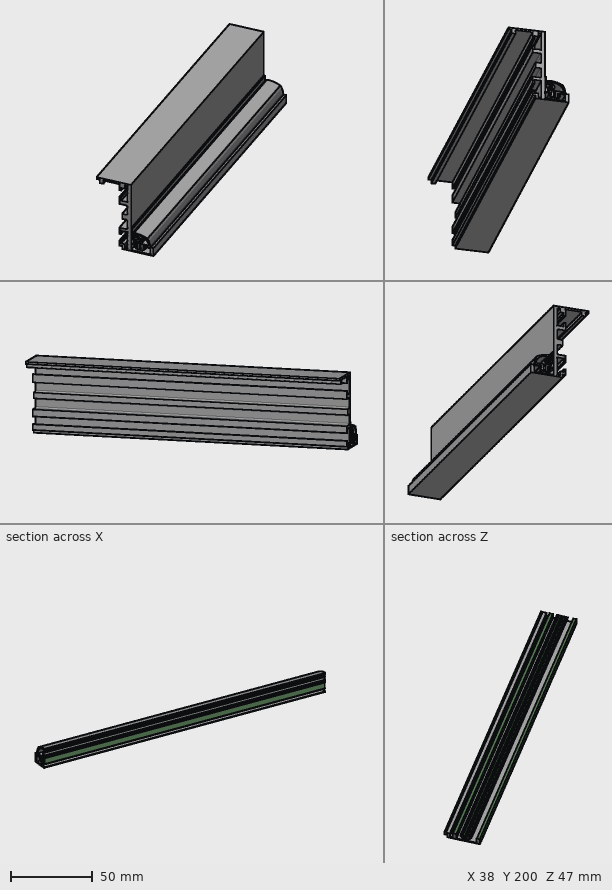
import cadquery as cq

length = 200.0
width = 38.0
height = 47.0

wall_left = 20.5
wall_right = 23.0
top_plate_thickness = 1.5
floor_left = 17.0
floor_thickness = 1.2
corner_radius = 1.0

foot_left = 2.0
foot_right = 4.5
rib_left = 15.2
rib_right = 18.8
rib_depth = 3.8
lip_right = rib_left + 1.2
top_lip_bottom = 41.5
upper_arm_bottom = 31.5
upper_arm_top = 34.2
upper_arm_lip_top = 36.5
block_left = 17.0
block_bottom = 21.5
block_top = 25.0
lower_arm_bottom = 12.8
lower_arm_top = 14.8
lower_arm_lip_bottom = 10.5
bottom_lip_bottom = 2.0
bottom_lip_top = 5.5

tray_floor_thickness = 0.8
tray_side_left = 35.8
tray_top = 5.5
ledge_bottom = tray_top - 0.5
slot_left = 26.8
slot_right = 31.2
slot_middle = (slot_left + slot_right) / 2

base_top = tray_top + 1.2
base_right = 36.2
strip_right = wall_right + 0.8
strip_top = 16.2
strip_shoulder = strip_top - 0.5
step_right = 24.8
step_top = 8.0

dome_top = 13.5
dome_crown_left = 25.0
dome_neck_right = 24.2
dome_neck_top = 12.5
dome_inner_top = 12.2
dome_inner_left = 28.5
dome_outer_bend = (30.5, 12.8)
dome_ridge = (34.0, 11.5)
dome_outer_side = (35.2, 9.5)
dome_right = 35.8
dome_inner_bend = (33.5, 10.0)
dome_inner_right = dome_right - 1.0

curl_thickness = 1.0
curl_outer_start = (27.2, 11.0)
curl_outer_nose = (29.0, 9.5)
curl_outer_end = (27.5, 7.8)
curl_inner_start = (26.2, 10.2)
curl_inner_nose = (27.5, 9.5)
curl_inner_end = (26.8, 8.8)
curl_neck_right = 24.5
curl_bottom = 7.5

stem_bottom = 2.2
stem_chamfer = 0.5
cavity_width = 1.2
cavity_bottom = 3.2
cavity_top = 6.5
barb_root_bottom = 2.5
barb_root_top = 4.0
barb_tip_bottom = 3.8
barb_tip_top = 4.5
barb_reach = 1.5
barb_tip_setback = 0.2


def bar(left, right, bottom, top):
    """Full-length rectangular bar."""
    size = (right - left, length, top - bottom)
    return cq.Workplane("XY").box(*size, centered=False).translate((left, 0, bottom))


def profile(x, z):
    """Start an outline in the XZ plane at the given point."""
    return cq.Workplane("XZ").moveTo(x, z)


def extrude(outline):
    """Close an outline and extrude it over the full length, toward +Y."""
    return outline.close().extrude(-length)


def join(parts):
    """Union of parts into one solid."""
    joined = parts[0]
    for part in parts[1:]:
        joined = joined.union(part)
    return joined.clean().solids()


def wall_fillet(z, side):
    """Concave fillet against the left of the wall; side is 1 above level z, -1 below it."""
    sag = corner_radius * (1 - 0.5**0.5)
    outline = (
        profile(wall_left, z)
        .lineTo(wall_left - corner_radius, z)
        .threePointArc(
            (wall_left - sag, z + side * sag),
            (wall_left, z + side * corner_radius),
        )
    )
    return extrude(outline)


def make_frame():
    """Wall, top plate and floor."""
    return [
        bar(wall_left, wall_right, 0, height),
        bar(0, wall_right, height - top_plate_thickness, height),
        bar(floor_left, wall_right, 0, floor_thickness),
    ]


def make_rails():
    """Ribs, arms and lips on the left of the wall, with the fillets at their roots."""
    return [
        bar(foot_left, foot_right, height - rib_depth, height),
        bar(rib_left, rib_right, height - rib_depth, height),
        bar(rib_left, lip_right, top_lip_bottom, height),
        bar(rib_left, wall_right, upper_arm_bottom, upper_arm_top),
        bar(rib_left, lip_right, upper_arm_bottom, upper_arm_lip_top),
        wall_fillet(upper_arm_bottom, -1),
        bar(block_left, wall_right, block_bottom, block_top),
        wall_fillet(block_top, 1),
        wall_fillet(block_bottom, -1),
        bar(rib_left, wall_right, lower_arm_bottom, lower_arm_top),
        bar(rib_left, lip_right, lower_arm_lip_bottom, lower_arm_top),
        wall_fillet(lower_arm_top, 1),
        bar(floor_left, rib_right, 0, rib_depth),
        bar(rib_left, rib_right, bottom_lip_bottom, rib_depth),
        bar(rib_left, lip_right, bottom_lip_bottom, bottom_lip_top),
    ]


def make_tray():
    """Tray floor, its right side and the two ledges."""
    return [
        bar(wall_left, width, 0, tray_floor_thickness),
        bar(tray_side_left, width, 0, tray_top),
        bar(wall_left, slot_left, ledge_bottom, tray_top),
        bar(slot_right, width, ledge_bottom, tray_top),
    ]


def make_base():
    """Base plate with a sloping right end, and the step at its left end."""
    plate = (
        profile(wall_right, tray_top)
        .lineTo(base_right, tray_top)
        .lineTo(dome_right, base_top)
        .lineTo(wall_right, base_top)
    )
    return [extrude(plate), bar(wall_right, step_right, tray_top, step_top)]


def make_strip():
    """Thin strip flat against the wall, with a sloping top."""
    outline = (
        profile(wall_right, tray_top)
        .lineTo(strip_right, tray_top)
        .lineTo(strip_right, strip_shoulder)
        .lineTo(wall_right, strip_top)
    )
    return extrude(outline)


def make_dome():
    """Curved skin with a thin neck at the strip and a ridge where its two outer arcs meet."""
    outline = (
        profile(wall_right, dome_neck_top)
        .lineTo(dome_neck_right, dome_neck_top)
        .lineTo(dome_crown_left, dome_top)
        .threePointArc(dome_outer_bend, dome_ridge)
        .threePointArc(dome_outer_side, (dome_right, base_top))
        .lineTo(dome_right, tray_top)
        .lineTo(dome_inner_right, tray_top)
        .lineTo(dome_inner_right, base_top)
        .threePointArc(dome_inner_bend, (dome_inner_left, dome_inner_top))
        .lineTo(wall_right, dome_inner_top)
    )
    return extrude(outline)


def make_curl():
    """C-shaped skin with a tapered lower end."""
    curl_inner_top = dome_inner_top - curl_thickness
    outline = (
        profile(wall_right, dome_inner_top)
        .lineTo(dome_neck_right, dome_inner_top)
        .lineTo(*curl_outer_start)
        .threePointArc(curl_outer_nose, curl_outer_end)
        .lineTo(step_right, curl_bottom)
        .lineTo(wall_right, curl_bottom)
        .lineTo(wall_right, step_top)
        .lineTo(curl_neck_right, curl_inner_end[1])
        .lineTo(*curl_inner_end)
        .threePointArc(curl_inner_nose, curl_inner_start)
        .lineTo(dome_neck_right, curl_inner_top)
        .lineTo(wall_right, curl_inner_top)
    )
    return extrude(outline)


def make_barb(root, direction):
    """Barb rising outward from the side of the stem; direction is 1 to the right, -1 to the left."""
    tip = root + direction * barb_reach
    outline = (
        profile(root, barb_root_bottom)
        .lineTo(tip, barb_tip_bottom)
        .lineTo(tip - direction * barb_tip_setback, barb_tip_top)
        .lineTo(root, barb_root_top)
    )
    return extrude(outline)


def make_stem():
    """Stem with chamfered lower edges and a barb on each side."""
    stem = bar(slot_left, slot_right, stem_bottom, tray_top)
    stem = stem.faces("<Z").edges("|Y").chamfer(stem_chamfer)
    return [stem, make_barb(slot_left, -1), make_barb(slot_right, 1)]


def make_housing():
    return join(make_frame() + make_rails() + make_tray())


def make_seal():
    skin = [make_strip(), make_dome(), make_curl()]
    cavity = bar(
        slot_middle - cavity_width / 2,
        slot_middle + cavity_width / 2,
        cavity_bottom,
        cavity_top,
    )
    return join(make_base() + skin + make_stem()).cut(cavity).solids()


housing = make_housing()
seal = make_seal()
result = cq.Compound.makeCompound([housing.val(), seal.val()])